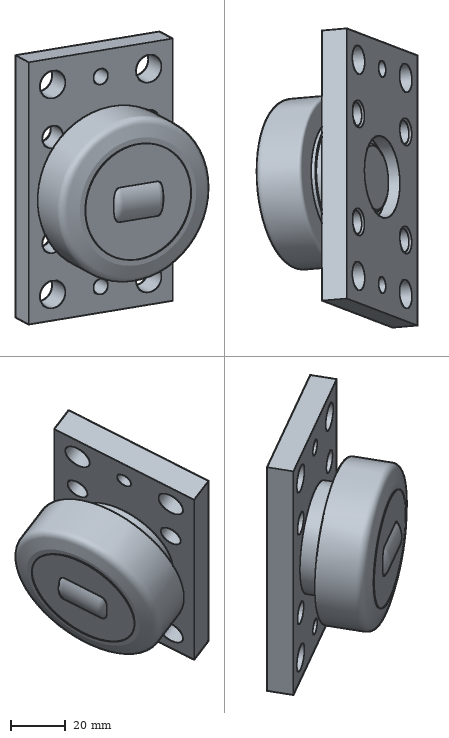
import cadquery as cq
import math

plate_thickness = 10.0
plate_width = 60.0
plate_height = 100.0

hole_half_pitch_y = 20.0
bolt_hole_diameter = 10.5
dowel_hole_diameter = 6.0
outer_hole_half_pitch_z = 40.0
tapped_hole_half_pitch_z = 20.0
tapped_hole_diameter = 8.5
tapped_countersink_diameter = 10.0

recess_radius = 15.0
recess_depth = 5.5
pin_radius = 12.5
pin_chamfer = 0.8
pin_end_x = 3.0

neck_radius = 21.0
core_radius = 22.0
core_start_x = 16.5
core_end_x = 38.3
ring_radius = 31.25
ring_start_x = 18.1
ring_end_x = 38.0
ring_back_fillet = 1.2
ring_front_round = 3.0
ring_round_start_x = 33.9
ring_front_slope = math.radians(14)

roller_tip_x = 40.5
roller_radius = 11.0
roller_width = 20.6
roller_fillet = 2.5


def cylinder_x(radius, start_x, end_x):
    """Solid cylinder on the X axis."""
    return cq.Workplane("YZ", origin=(start_x, 0, 0)).circle(radius).extrude(end_x - start_x)


def four_places(half_pitch_y, half_pitch_z):
    return [(y, z) for y in (-half_pitch_y, half_pitch_y) for z in (-half_pitch_z, half_pitch_z)]


def make_plate():
    plate = cq.Workplane("YZ").rect(plate_width, plate_height).extrude(plate_thickness)
    bolt_places = four_places(hole_half_pitch_y, outer_hole_half_pitch_z)
    tapped_places = four_places(hole_half_pitch_y, tapped_hole_half_pitch_z)
    dowel_places = [(0, -outer_hole_half_pitch_z), (0, outer_hole_half_pitch_z)]

    for places, diameter in (
        (bolt_places, bolt_hole_diameter),
        (dowel_places, dowel_hole_diameter),
        (tapped_places, tapped_hole_diameter),
    ):
        holes = cq.Workplane("YZ").pushPoints(places).circle(diameter / 2).extrude(plate_thickness)
        plate = plate.cut(holes)

    countersink_depth = (tapped_countersink_diameter - tapped_hole_diameter) / 2
    countersinks = (
        cq.Workplane("YZ")
        .pushPoints(tapped_places)
        .circle(tapped_countersink_diameter / 2)
        .extrude(countersink_depth, taper=45)
    )
    plate = plate.cut(countersinks)

    return plate.cut(cylinder_x(recess_radius, 0, recess_depth))


def make_ring():
    """Outer ring: small back fillet, rounded front edge running into a shallow cone."""
    round_centre_r = ring_radius - ring_front_round
    mid_angle = (math.pi / 2 + ring_front_slope) / 2
    cone_start_x = ring_round_start_x + ring_front_round * math.cos(ring_front_slope)
    cone_start_r = round_centre_r + ring_front_round * math.sin(ring_front_slope)
    cone_end_r = cone_start_r - (ring_end_x - cone_start_x) / math.tan(ring_front_slope)
    profile = (
        cq.Workplane("XY")
        .moveTo(ring_start_x, 0)
        .lineTo(ring_start_x, ring_radius - ring_back_fillet)
        .radiusArc((ring_start_x + ring_back_fillet, ring_radius), ring_back_fillet)
        .lineTo(ring_round_start_x, ring_radius)
        .threePointArc(
            (
                ring_round_start_x + ring_front_round * math.cos(mid_angle),
                round_centre_r + ring_front_round * math.sin(mid_angle),
            ),
            (cone_start_x, cone_start_r),
        )
        .lineTo(ring_end_x, cone_end_r)
        .lineTo(ring_end_x, 0)
        .close()
    )
    return profile.revolve(360, (0, 0, 0), (1, 0, 0))


def make_side_roller():
    return (
        cq.Workplane("XZ", origin=(roller_tip_x - roller_radius, roller_width / 2, 0))
        .circle(roller_radius)
        .extrude(roller_width)
        .edges("%CIRCLE")
        .fillet(roller_fillet)
    )


neck = cylinder_x(neck_radius, plate_thickness, core_start_x)
core = cylinder_x(core_radius, core_start_x, core_end_x)
pin_end = cylinder_x(pin_radius, pin_end_x, recess_depth).faces("<X").chamfer(pin_chamfer)

result = make_plate()
for piece in (pin_end, neck, core, make_ring(), make_side_roller()):
    result = result.union(piece)